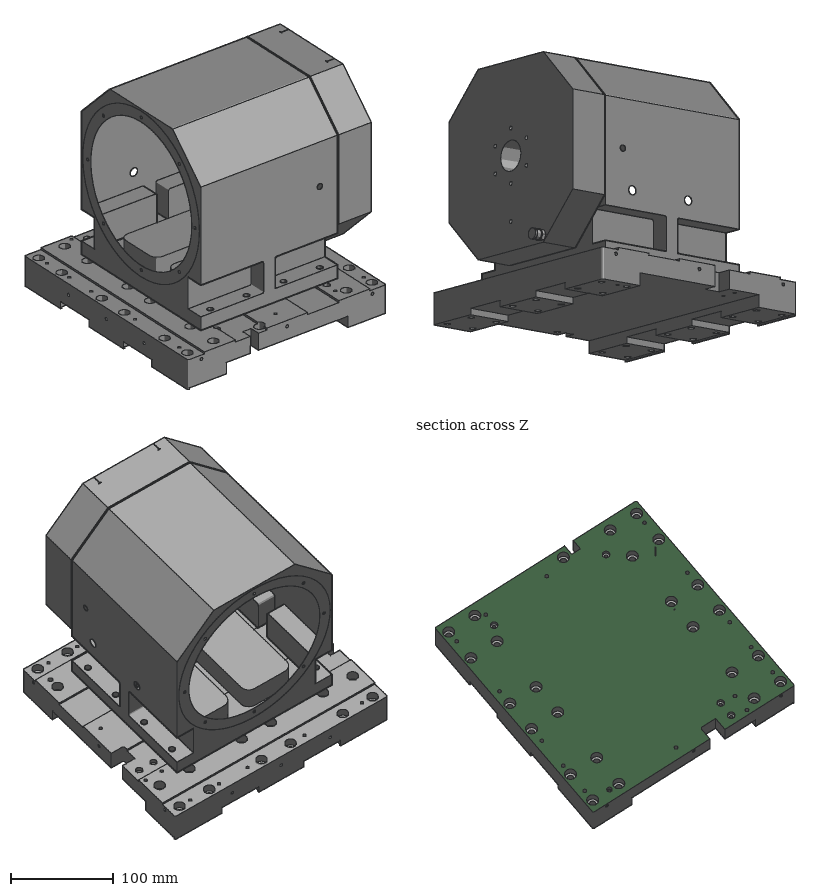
import cadquery as cq
import math


BASE_WIDTH = 260.0
BASE_DEPTH = 243.5
BASE_BOTTOM = 1.5
BASE_TOP = 33.5
PAD_TOP = 35.5
BASE_CORNER_RADIUS = 1.5
LIP_DEPTH = 1.9
PADS = [(20.2, 58.5), (97.0, 147.0), (185.2, 223.5)]
ARCH_FRONT = 47.2
ARCH_REAR = 196.5
ARCH_HEIGHT = 14.3
FOOT_SLOT_X = 50.0
FOOT_SLOT_WIDTH = 44.9
FOOT_SLOT_TOP = 8.0
LEFT_NOTCH = (-114.7, 84.5, 102.2)
RIGHT_NOTCH = (118.5, 76.5, 86.5)
NOTCH_RADIUS = 2.0

AXIS_Z = 146.0
HALF_WIDTH = 95.0
CORNER_CUT = 45.0
HOUSING_FRONT = 42.7
HOUSING_REAR = 211.3
HOUSING_EDGE_RADIUS = 2.0
WALL = 0.5
OPENING_RADIUS = 80.2
RING_RADIUS = 92.5
RING_RECESS = 0.3

POCKET_DEPTH = 20.2
POCKET_BOTTOM = 51.2
POCKET_TOP = 86.0
WEB_FRONT = 120.0
WEB_REAR = 134.5
POCKET_TOP_RADIUS = 2.0
POCKET_BOTTOM_RADIUS = 1.5

BLOCK_X = 37.2
BLOCK_WIDTH = 56.0
BLOCK_LENGTH = 120.5
BLOCK_FRONT = 67.1
BLOCK_TOP = 60.5
BLOCK_RADIUS = 9.8

COVER_FRONT = 212.3
COVER_REAR = 252.5
JOINT_INSET = 0.5
BORE_RADIUS = 15.5
BORE_CHAMFER = 0.8
MARK_X = 36.4
MARK_LENGTH = 9.8
MARK_BAR = 3.2
MARK_WIDTH = 0.5
MARK_DEPTH = 0.3

PLUG_X = -48.3
PLUG_Z = 58.0
PLUG_REAR = 265.5
RIM_FRONT = 262.7
RIM_RADIUS = 5.5
SLEEVE_RADIUS = 5.0
COLLAR_FRONT = 257.0
COLLAR_REAR = 257.7
COLLAR_RADIUS = 5.8
NUT_SIZE = 11.1


def box(x0, x1, y0, y1, z0, z1):
    """Block between two opposite corners."""
    return cq.Workplane("XY").box(x1 - x0, y1 - y0, z1 - z0, centered=False).translate((x0, y0, z0))


def rod_x(radius, x0, x1, y, z):
    """Cylinder along X."""
    return cq.Workplane("YZ", origin=(x0, y, z)).circle(radius).extrude(x1 - x0)


def rod_y(radius, y0, y1, x=0, z=AXIS_Z):
    """Cylinder along Y."""
    return cq.Workplane("XZ", origin=(x, y0, z)).circle(radius).extrude(y0 - y1)


def rods_z(radius, z0, z1, places):
    """Cylinders along Z at the given (x, y) places."""
    return cq.Workplane("XY", origin=(0, 0, z0)).pushPoints(places).circle(radius).extrude(z1 - z0)


def ring_places(radius, count):
    """(x, z) places spread evenly on a circle round the bore axis, the first at the top."""
    angles = [math.pi / 2 + 2 * math.pi * i / count for i in range(count)]
    return [(radius * math.cos(a), AXIS_Z + radius * math.sin(a)) for a in angles]



def plain_base():
    """Plate with raised strips, feet, slots between the feet and a front lip."""
    half = BASE_WIDTH / 2
    base = box(-half, half, 0, BASE_DEPTH, 0, BASE_TOP)
    base = base.edges("|Z").fillet(BASE_CORNER_RADIUS)
    base = base.cut(box(-half, half, LIP_DEPTH, BASE_DEPTH, 0, BASE_BOTTOM))
    for front, rear in PADS:
        base = base.union(box(-half, half, front, rear, BASE_TOP, PAD_TOP))
    base = base.cut(box(-half, half, ARCH_FRONT, ARCH_REAR, 0, ARCH_HEIGHT))
    for x in (-FOOT_SLOT_X, FOOT_SLOT_X):
        slot_half = FOOT_SLOT_WIDTH / 2
        base = base.cut(box(x - slot_half, x + slot_half, 0, BASE_DEPTH, 0, FOOT_SLOT_TOP))
    return base


def edge_notches():
    """Notches through the left and right edges of the base."""
    half = BASE_WIDTH / 2
    inner, front, rear = LEFT_NOTCH
    left = box(-half, inner, front, rear, 0, PAD_TOP).edges("|Z and >X and >Y").fillet(NOTCH_RADIUS)
    inner, front, rear = RIGHT_NOTCH
    return left.union(box(inner, half, front, rear, 0, PAD_TOP))


SCREW_RADIUS = 3.2
SCREW_HEAD_RADIUS = 5.5
SCREW_HEAD_SEAT = 25.0
SCREW_COLUMNS = (-118.0, -81.7, -17.8, 17.8, 81.7, 118.0)
SCREW_ROWS = (8.5, 40.3, 203.5, 235.1)
LONE_SCREW = (120.2, 95.3)

PIN_RADIUS = 1.5
PIN_BOTTOM = 21.2
PIN_COLUMNS = (-105.0, -69.8, -34.8, 34.8, 105.0)
PIN_PLACES = [(x, y) for x in PIN_COLUMNS for y in (SCREW_ROWS[0], SCREW_ROWS[-1])]
PIN_PLACES += [(-124.7, 54.0), (PIN_COLUMNS[0], 54.0), (-118.0, 134.5), (112.5, 121.0), (112.5, 194.5)]
STEPPED_PLACES = [(-120.5, 69.8), (-103.2, 69.8), (-118.0, 215.0)]
STEPPED_RADII = (3.5, 3.5, 2.5)
STEPPED_SEAT = 29.2
BLIND_RADIUS = 3.5
BLIND_PLACES = [(98.2, 60.0), (98.2, 195.0)]

FRONT_HOLE_X = (-60.0, 0, 60.0)
FRONT_HOLE_Z = 21.0
SIDE_HOLE_Y = (16.5, 121.8, 226.7)
SIDE_HOLE_Z = 29.0
EDGE_HOLE_RADIUS = 1.5
EDGE_HOLE_DEPTH = 8.0


def base_top_holes():
    """Counterbored screw holes, stepped holes and small blind holes in the top of the base."""
    screws = [(x, y) for x in SCREW_COLUMNS for y in SCREW_ROWS]
    screws.append(LONE_SCREW)
    holes = rods_z(SCREW_RADIUS, 0, PAD_TOP, screws)
    holes = holes.union(rods_z(SCREW_HEAD_RADIUS, SCREW_HEAD_SEAT, PAD_TOP, screws))
    holes = holes.union(rods_z(PIN_RADIUS, PIN_BOTTOM, PAD_TOP, PIN_PLACES))
    holes = holes.union(rods_z(PIN_RADIUS, PIN_BOTTOM, PAD_TOP, BLIND_PLACES))
    holes = holes.union(rods_z(BLIND_RADIUS, STEPPED_SEAT, PAD_TOP, BLIND_PLACES))
    holes = holes.union(rods_z(PIN_RADIUS, 0, PAD_TOP, STEPPED_PLACES))
    for place, radius in zip(STEPPED_PLACES, STEPPED_RADII):
        holes = holes.union(rods_z(radius, STEPPED_SEAT, PAD_TOP, [place]))
    return holes


def base_edge_holes():
    """Blind holes in the front and in both ends of the base."""
    half = BASE_WIDTH / 2
    holes = cq.Workplane("XY")
    for x in FRONT_HOLE_X:
        holes = holes.add(rod_y(EDGE_HOLE_RADIUS, 0, EDGE_HOLE_DEPTH, x, FRONT_HOLE_Z))
    for y in SIDE_HOLE_Y:
        holes = holes.add(rod_x(EDGE_HOLE_RADIUS, -half, EDGE_HOLE_DEPTH - half, y, SIDE_HOLE_Z))
        holes = holes.add(rod_x(EDGE_HOLE_RADIUS, half - EDGE_HOLE_DEPTH, half, y, SIDE_HOLE_Z))
    return holes.combine()



def octagon(inset, y0, y1):
    """Bar along Y with the section of the cover, moved inwards by the inset."""
    side = 2 * (HALF_WIDTH - inset)
    cut = CORNER_CUT - inset * (2 - math.sqrt(2))
    bar = cq.Workplane("XZ", origin=(0, y0, AXIS_Z)).rect(side, side).extrude(y0 - y1)
    return bar.edges("|Y").chamfer(cut)


def arch(inset, y0, y1):
    """Bar along Y with the section of the housing, moved inwards by the inset."""
    half = HALF_WIDTH - inset
    return octagon(inset, y0, y1).union(box(-half, half, y0, y1, PAD_TOP + inset, AXIS_Z))


def pockets(grow, floor):
    """The four side pockets, grown on every inner side and reaching down to the floor height."""
    inner = HALF_WIDTH - POCKET_DEPTH - grow
    top_radius = POCKET_TOP_RADIUS + grow
    front = box(inner, HALF_WIDTH, HOUSING_FRONT, WEB_FRONT + grow, floor, POCKET_TOP + grow)
    front = front.edges("|X and >Y and >Z").fillet(top_radius)
    front = front.edges("|X and >Y and <Z").fillet(POCKET_BOTTOM_RADIUS)
    rear = box(inner, HALF_WIDTH, WEB_REAR - grow, HOUSING_REAR, floor, POCKET_TOP + grow)
    rear = rear.edges("|X and <Y and >Z").fillet(top_radius)
    rear = rear.edges("|X and <Y and <Z").fillet(POCKET_BOTTOM_RADIUS)
    right = front.union(rear)
    return right.union(right.mirror("YZ"))


def floor_blocks():
    """Two rounded blocks side by side on the housing floor."""
    places = [(x, BLOCK_FRONT + BLOCK_LENGTH / 2) for x in (-BLOCK_X, BLOCK_X)]
    sketch = cq.Workplane("XY", origin=(0, 0, PAD_TOP)).pushPoints(places)
    blocks = sketch.rect(BLOCK_WIDTH, BLOCK_LENGTH).extrude(BLOCK_TOP - PAD_TOP)
    return blocks.edges("|Z").fillet(BLOCK_RADIUS)


RING_HOLE_CIRCLE = 85.2
RING_HOLE_COUNT = 8
RING_HOLE_RADIUS = 1.5
LEDGE_HOLE_X = 88.0
LEDGE_HOLE_Y = (59.7, 104.3, 149.7, 194.3)
LEDGE_HOLE_RADIUS = 3.0
CROSS_HOLE_Y = 189.2
CROSS_HOLE_RADIUS = 3.2
LIFT_HOLE_Y = (107.2, 177.3)
LIFT_HOLE_Z = 105.5
LIFT_HOLE_RADIUS = 4.5


def housing():
    """Thin-walled housing with an open front, side pockets, bushed ledge holes and inner blocks."""
    body = arch(0, HOUSING_FRONT, HOUSING_REAR)
    upper = cq.selectors.BoxSelector(
        (-HALF_WIDTH - WALL, HOUSING_FRONT, AXIS_Z),
        (HALF_WIDTH + WALL, HOUSING_REAR, AXIS_Z + HALF_WIDTH + WALL),
    )
    body = body.edges("|Y").edges(upper).fillet(HOUSING_EDGE_RADIUS)
    cavity = arch(WALL, HOUSING_FRONT + WALL, HOUSING_REAR - WALL)
    ledge_places = [(x, y) for x in (-LEDGE_HOLE_X, LEDGE_HOLE_X) for y in LEDGE_HOLE_Y]
    ledge_bushes = rods_z(LEDGE_HOLE_RADIUS + WALL, PAD_TOP, POCKET_BOTTOM, ledge_places)
    cavity = cavity.cut(ledge_bushes).cut(pockets(WALL, POCKET_BOTTOM - WALL)).cut(floor_blocks())
    body = body.cut(cavity).cut(pockets(0, POCKET_BOTTOM))
    body = body.cut(rod_y(RING_RADIUS, HOUSING_FRONT, HOUSING_FRONT + RING_RECESS))
    body = body.cut(rod_y(OPENING_RADIUS, HOUSING_FRONT, HOUSING_FRONT + WALL))
    for x, z in ring_places(RING_HOLE_CIRCLE, RING_HOLE_COUNT):
        body = body.cut(rod_y(RING_HOLE_RADIUS, HOUSING_FRONT, HOUSING_FRONT + WALL, x, z))
    body = body.cut(rods_z(LEDGE_HOLE_RADIUS, PAD_TOP, POCKET_BOTTOM, ledge_places))
    body = body.cut(rod_x(CROSS_HOLE_RADIUS, -HALF_WIDTH, HALF_WIDTH, CROSS_HOLE_Y, AXIS_Z))
    for y in LIFT_HOLE_Y:
        body = body.cut(rod_x(LIFT_HOLE_RADIUS, -HALF_WIDTH, WALL - HALF_WIDTH, y, LIFT_HOLE_Z))
    return body



REAR_HOLE_CIRCLE = 27.5
REAR_HOLE_COUNT = 6
REAR_HOLE_RADIUS = 1.9
DRAIN_DROP = 65.5


def rear_cover():
    """Octagonal cover joined to the housing by a slightly smaller spacer."""
    cover = octagon(0, COVER_FRONT, COVER_REAR)
    for x in (-MARK_X, MARK_X):
        top = AXIS_Z + HALF_WIDTH
        end = COVER_REAR - MARK_LENGTH
        half = MARK_WIDTH / 2
        cover = cover.cut(box(x - half, x + half, end, COVER_REAR, top - MARK_DEPTH, top))
        half = MARK_BAR / 2
        cover = cover.cut(box(x - half, x + half, end, end + MARK_WIDTH, top - MARK_DEPTH, top))
    return cover.union(octagon(JOINT_INSET, HOUSING_REAR, COVER_FRONT))


def rear_holes():
    """Central bore and small holes through the rear wall and the cover."""
    start = HOUSING_REAR - WALL
    holes = rod_y(BORE_RADIUS, start, COVER_REAR)
    mouth = cq.Solid.makeCone(
        BORE_RADIUS + BORE_CHAMFER, BORE_RADIUS, BORE_CHAMFER,
        pnt=cq.Vector(0, start, AXIS_Z), dir=cq.Vector(0, 1, 0),
    )
    holes = holes.union(cq.Workplane(mouth))
    places = ring_places(REAR_HOLE_CIRCLE, REAR_HOLE_COUNT) + [(0, AXIS_Z - DRAIN_DROP)]
    for x, z in places:
        holes = holes.union(rod_y(REAR_HOLE_RADIUS, start, COVER_REAR, x, z))
    return holes


def connector():
    """Hexagonal nut, collar and round sleeve with an end rim."""
    nut = cq.Workplane("XZ", origin=(PLUG_X, COVER_REAR, PLUG_Z)).polygon(6, NUT_SIZE)
    plug = nut.extrude(COVER_REAR - COLLAR_FRONT)
    plug = plug.union(rod_y(COLLAR_RADIUS, COLLAR_FRONT, COLLAR_REAR, PLUG_X, PLUG_Z))
    plug = plug.union(rod_y(SLEEVE_RADIUS, COLLAR_REAR, RIM_FRONT, PLUG_X, PLUG_Z))
    return plug.union(rod_y(RIM_RADIUS, RIM_FRONT, PLUG_REAR, PLUG_X, PLUG_Z))


base_plate = plain_base().cut(edge_notches()).cut(base_top_holes()).cut(base_edge_holes())
machine = housing().union(rear_cover()).cut(rear_holes()).union(connector())
result = base_plate.union(machine)